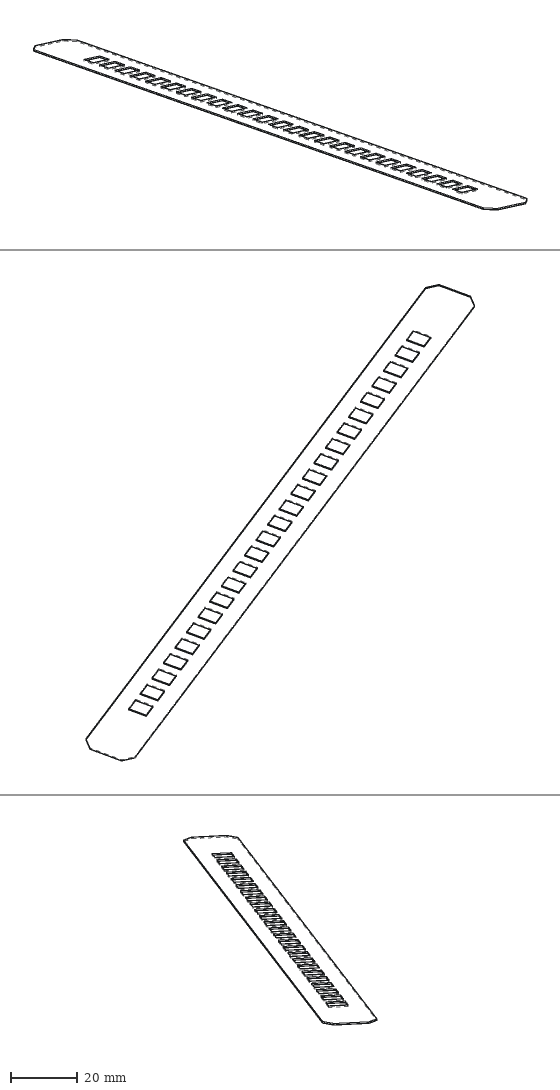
import cadquery as cq

LENGTH = 226.0
WIDTH = 16.75
THICKNESS = 0.5
CORNER_CUT = 3.0

WINDOW_COUNT = 25
WINDOW_PITCH = 7.5
WINDOW_LENGTH = 4.5
WINDOW_WIDTH = 6.0
ROW_OFFSET = 0.25


def make_strip():
    """Flat strip with its four corners cut off at 45 degrees."""
    strip = cq.Workplane("XY").box(LENGTH, WIDTH, THICKNESS)
    return strip.edges("|Z").chamfer(CORNER_CUT)


def cut_windows(strip):
    """Cut the single row of evenly spaced windows through the strip."""
    first_window_x = ROW_OFFSET - WINDOW_PITCH * (WINDOW_COUNT - 1) / 2
    centres = [(first_window_x + i * WINDOW_PITCH, 0) for i in range(WINDOW_COUNT)]
    return (
        strip.faces(">Z")
        .workplane()
        .pushPoints(centres)
        .rect(WINDOW_LENGTH, WINDOW_WIDTH)
        .cutThruAll()
    )


result = cut_windows(make_strip())